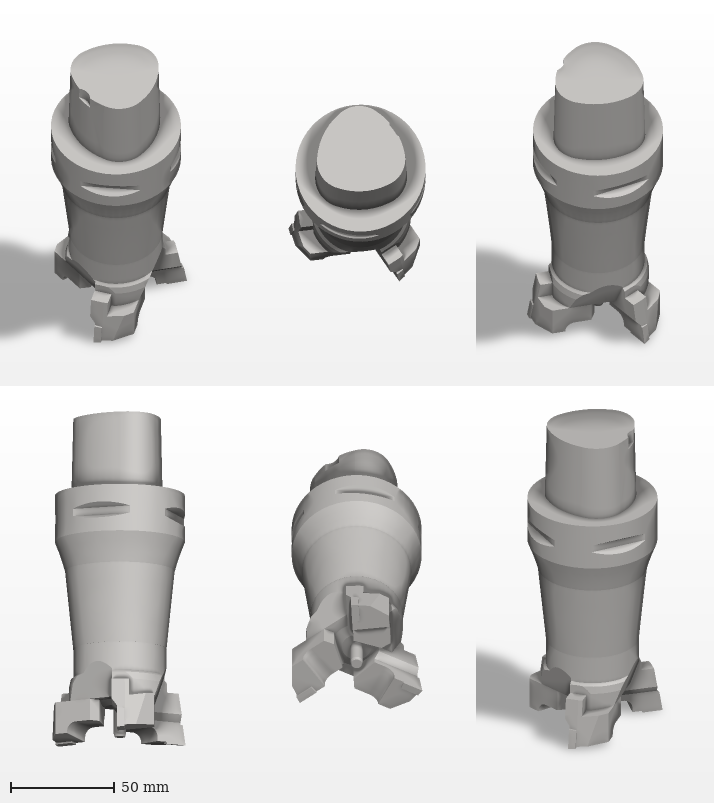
import cadquery as cq
import math


REACH = 63.2

top_z = 158.0
collar_top_z = 120.4
flat_radius = 20.7
lobe_radius = 23.5
blend_radius = 22.1
blend_angle = 34.5
shank_top_ratio = 0.96

key_notch_depth_z = 6.5
key_notch_radius = 6.3
key_notch_wall_y = -18.2

collar_radius = 63.0 / 2
collar_bottom_z = 97.5
shoulder_z = 83.0
shoulder_radius = 26.5
shoulder_mid_radius = 28.8
neck_top_z = 44.4
neck_radius = 45.0 / 2
neck_top_radius = 22.6

grip_slot_z = 108.0
grip_slot_floor = 28.0
grip_slot_floor_width = 3.5
grip_slot_mouth_width = 7.7
grip_slot_angles = [45, 135, 225, 315]

head_top_z = 30.5
head_edge_z = 29.2
head_edge_radius = 23.9
head_shoulder_z = 25.8
head_radius = 24.6
head_bottom_z = 18.2
head_flat_distance = 23.7
head_flat_half_width = 9.5
boss_top_radius = 11.8
boss_bottom_radius = 7.1
boss_bottom_z = 16.1
post_radius = 6.0 / 2
post_bottom_z = 1.5
post_chamfer_height = 1.6
post_chamfer_width = 0.5

tooth_angles = [180.0, 304.0, 63.0]
tooth_top_z = 24.6
rake_upper_y = -3.6
rake_lower_y = -1.0
rake_slope_top_z = 14.5
rake_slope_bottom_z = 10.9
block_back_y = 4.7
back_wall_y = 16.9
ledge_front_z = 16.5
ledge_back_z = 18.2
tooth_bottom_front_z = 1.0
tooth_bottom_back_z = 2.5
tooth_top_x = 30.0
tooth_bottom_x = 34.1
relief_start_y = 2.7
relief_angle = 10.0
rear_facet_start_y = 6.6
back_corner_x = 26.4
inner_back_x = 7.1
inner_nose = (4.5, 12.3)
inner_front_x = 10.3
recess_end_x = 19.9
recess_ceiling_z = 7.7
recess_fillet = 4.7

flute_run_out_z = 35.2

insert_top_z = 10.0
insert_tip_x = 35.0
insert_outer_top_x = 33.5
insert_inner_bottom_x = 25.0
insert_inner_top_x = 23.9
insert_thickness = 3.6
insert_clearance = 7.0
screw_diameter = 6.0
screw_x = 29.4
screw_z = 5.0


def turned(shape, angle):
    return shape.rotate((0, 0, 0), (0, 0, 1), angle)


def prism_along_x(points, x_start, x_end):
    """Prism along X from a (y, z) outline."""
    return cq.Workplane("YZ").workplane(offset=x_start).polyline(points).close().extrude(x_end - x_start)


def prism_along_y(points, y_start, y_end):
    """Prism along Y from an (x, z) outline."""
    outline = cq.Workplane("XZ").workplane(offset=-y_start).polyline(points).close()
    return outline.extrude(y_start - y_end)


def polar(radius, angle):
    return (radius * math.cos(math.radians(angle)), radius * math.sin(math.radians(angle)))


def lobed_outline(plane, ratio):
    """Three long sides and three lobes, all arcs; one long side faces -Y."""
    outline = plane.moveTo(*polar(ratio * blend_radius, -90 - blend_angle))
    for side in (-90, 30, 150):
        outline = outline.threePointArc(
            polar(ratio * flat_radius, side), polar(ratio * blend_radius, side + blend_angle)
        )
        outline = outline.threePointArc(
            polar(ratio * lobe_radius, side + 60), polar(ratio * blend_radius, side + 120 - blend_angle)
        )
    return outline.close()


def make_shank():
    base = lobed_outline(cq.Workplane("XY").workplane(offset=collar_top_z), 1.0)
    top_plane = base.workplane(offset=top_z - collar_top_z)
    shank = lobed_outline(top_plane, shank_top_ratio).loft(ruled=True)
    notch = (
        cq.Workplane("XY")
        .workplane(offset=top_z - key_notch_depth_z)
        .center(0, key_notch_wall_y - key_notch_radius)
        .circle(key_notch_radius)
        .extrude(2 * key_notch_depth_z)
    )
    return shank.cut(notch)


def make_core():
    """Collar, neck and the round part of the head, turned about Z."""
    shoulder_mid_z = (collar_bottom_z + shoulder_z) / 2
    return (
        cq.Workplane("XZ")
        .moveTo(0, collar_top_z)
        .lineTo(collar_radius, collar_top_z)
        .lineTo(collar_radius, collar_bottom_z)
        .threePointArc((shoulder_mid_radius, shoulder_mid_z), (shoulder_radius, shoulder_z))
        .lineTo(neck_top_radius, neck_top_z)
        .lineTo(neck_radius, neck_top_z)
        .lineTo(neck_radius, head_top_z)
        .lineTo(head_edge_radius, head_edge_z)
        .lineTo(head_radius, head_shoulder_z)
        .lineTo(head_radius, head_bottom_z)
        .lineTo(0, head_bottom_z)
        .close()
        .revolve(360, (0, 0, 0), (0, 1, 0))
    )


def make_centre_post():
    """Conical boss under the head with a chamfered post on the axis."""
    return (
        cq.Workplane("XZ")
        .moveTo(0, head_bottom_z)
        .lineTo(boss_top_radius, head_bottom_z)
        .lineTo(boss_bottom_radius, boss_bottom_z)
        .lineTo(post_radius, boss_bottom_z)
        .lineTo(post_radius, post_bottom_z + post_chamfer_height)
        .lineTo(post_radius - post_chamfer_width, post_bottom_z)
        .lineTo(0, post_bottom_z)
        .close()
        .revolve(360, (0, 0, 0), (0, 1, 0))
    )


def make_grip_slot():
    """Straight slot across the collar on the +X side, with sloping flanks."""
    floor_half = grip_slot_floor_width / 2
    mouth_half = grip_slot_mouth_width / 2
    outline = [
        (grip_slot_floor, grip_slot_z - floor_half),
        (collar_radius, grip_slot_z - mouth_half),
        (REACH, grip_slot_z - mouth_half),
        (REACH, grip_slot_z + mouth_half),
        (collar_radius, grip_slot_z + mouth_half),
        (grip_slot_floor, grip_slot_z + floor_half),
    ]
    return prism_along_y(outline, -REACH, REACH)


def make_head_flat():
    """Cutter for the flat on the head above a tooth."""
    outline = [
        (head_flat_distance, 0),
        (REACH, 0),
        (REACH, head_top_z),
        (head_flat_distance, head_top_z),
    ]
    return prism_along_y(outline, -head_flat_half_width, head_flat_half_width)


def make_tooth():
    """Tooth along +X: the volume shared by its front, side and plan outlines."""
    front = prism_along_x(
        [
            (rake_upper_y, tooth_top_z),
            (rake_upper_y, rake_slope_top_z),
            (rake_lower_y, rake_slope_bottom_z),
            (rake_lower_y, tooth_bottom_front_z),
            (back_wall_y, tooth_bottom_back_z),
            (back_wall_y, tooth_top_z),
        ],
        0,
        REACH,
    )
    side = prism_along_y(
        [(-REACH, 0), (tooth_bottom_x, 0), (tooth_top_x, tooth_top_z), (-REACH, tooth_top_z)],
        -REACH,
        REACH,
    )
    relief_hinge = (tooth_top_x, relief_start_y)
    relieved_side = side.rotate((*relief_hinge, 0), (*relief_hinge, 1), relief_angle)
    plan = (
        cq.Workplane("XY")
        .polyline(
            [
                (inner_front_x, rake_upper_y),
                (tooth_bottom_x, rake_upper_y),
                (tooth_bottom_x, rear_facet_start_y),
                (back_corner_x, back_wall_y),
                (inner_back_x, back_wall_y),
                inner_nose,
            ]
        )
        .close()
        .extrude(tooth_top_z)
    )
    tooth = front.intersect(side).intersect(relieved_side).intersect(plan)
    return tooth.cut(make_ledge_cutter()).cut(make_recess())


def make_ledge_cutter():
    """Space above the low rear part of a tooth, outside the head."""
    space = prism_along_x(
        [
            (block_back_y, ledge_front_z),
            (back_wall_y, ledge_back_z),
            (back_wall_y, top_z),
            (block_back_y, top_z),
        ],
        0,
        REACH,
    )
    round_head = cq.Workplane("XY").circle(head_radius).extrude(top_z)
    return space.cut(round_head.cut(make_head_flat()))


def make_recess():
    """Rounded recess under the inner end of a tooth."""
    block = cq.Workplane("XY").box(
        recess_end_x, 2 * REACH, 2 * recess_ceiling_z, centered=(False, True, True)
    )
    return block.edges("|Y and >X and >Z").fillet(recess_fillet)


def make_flute_face_cutter(tooth_angle, next_tooth_angle):
    """Sloping cut up into the neck, from behind one tooth to the rake face of the next."""
    slope = (neck_radius - back_wall_y) / (flute_run_out_z - head_bottom_z)
    face_top_z = head_bottom_z + (REACH - back_wall_y) / slope
    wedge = prism_along_x(
        [(back_wall_y, head_bottom_z), (REACH, head_bottom_z), (REACH, face_top_z)], -REACH, REACH
    )
    ahead_of_next = (
        cq.Workplane("XY")
        .box(2 * REACH, 2 * REACH, shoulder_z, centered=(True, False, False))
        .translate((0, rake_upper_y - 2 * REACH, 0))
    )
    return turned(wedge, tooth_angle).intersect(turned(ahead_of_next, next_tooth_angle))


def make_insert_blank(angle):
    """Insert without its screw hole; the flanks lean in behind the rake face."""
    blank = (
        cq.Workplane("XZ", origin=(0, rake_lower_y, 0))
        .polyline(
            [
                (insert_inner_bottom_x, 0),
                (insert_tip_x, 0),
                (insert_outer_top_x, insert_top_z),
                (insert_inner_top_x, insert_top_z),
            ]
        )
        .close()
        .extrude(-insert_thickness, taper=insert_clearance)
    )
    return turned(blank, angle)


def make_screw(angle):
    screw = (
        cq.Workplane("XZ", origin=(screw_x, rake_lower_y, screw_z))
        .circle(screw_diameter / 2)
        .extrude(-insert_thickness)
    )
    return turned(screw, angle)


def make_insert(angle):
    return make_insert_blank(angle).cut(make_screw(angle))


def make_cutter_body():
    body = make_core()
    for slot_angle in grip_slot_angles:
        body = body.cut(turned(make_grip_slot(), slot_angle))
    for angle in tooth_angles:
        body = body.cut(turned(make_head_flat(), angle))
    for index, angle in enumerate(tooth_angles):
        next_angle = tooth_angles[(index + 1) % len(tooth_angles)]
        body = body.cut(make_flute_face_cutter(angle, next_angle))
    body = body.union(make_shank()).union(make_centre_post())
    for angle in tooth_angles:
        body = body.union(turned(make_tooth(), angle))
    for angle in tooth_angles:
        body = body.cut(make_insert_blank(angle))
    return body


cutter_body = make_cutter_body()
inserts = [make_insert(angle).val() for angle in tooth_angles]
screws = [make_screw(angle).val() for angle in tooth_angles]

result = cq.Compound.makeCompound([cutter_body.val(), *inserts, *screws])